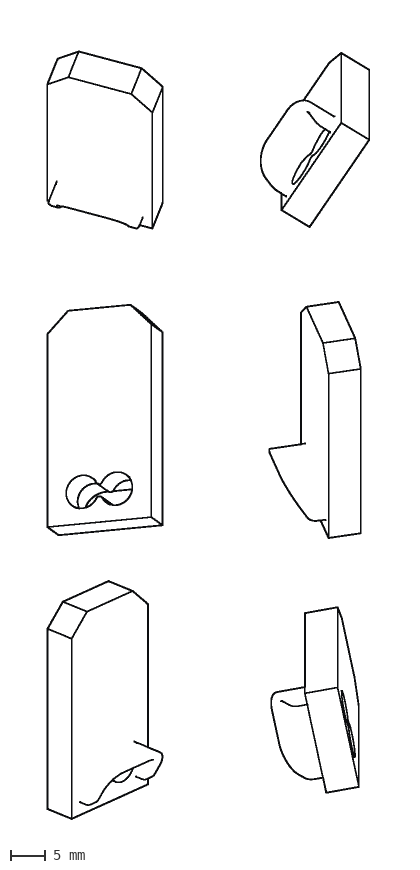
import cadquery as cq
import math

plate_width = 15.9
plate_height = 31.9
plate_thickness = 4.8
plate_corner_chamfer = 3.2

opening_height = 4.75
opening_radius = 2.45
opening_offset = 2.6
neck_tip_radius = 0.5

hood_arc_offset = 2.65
hood_inner_radius = 2.5
hood_wall = 1.4
hood_leg_bottom = 2.2
hood_depth = 6.01
hood_slope_angle = 30.0
hood_heel_radius = 1.7
hood_edge_radius = 0.2
hood_root_radius = 0.2
root_selection_margin = 0.05

hood_outer_radius = hood_inner_radius + hood_wall
hood_top = opening_height + hood_outer_radius
hood_half_width = hood_arc_offset + hood_outer_radius
hood_bottom_depth = hood_depth - (hood_top - hood_leg_bottom) * math.tan(math.radians(hood_slope_angle))


def make_plate():
    """Upright slab with its two top corners cut off."""
    slab = cq.Workplane("XY").box(plate_width, plate_thickness, plate_height, centered=(True, False, False))
    return slab.edges("|Y and >Z").chamfer(plate_corner_chamfer)


def arch(radius, depth):
    """Solid arch from the leg bottoms up, reaching from Y = 0 to Y = -depth."""
    half_width = hood_arc_offset + radius
    top = opening_height + radius
    diagonal = radius * math.sqrt(0.5)
    return (
        cq.Workplane("XZ")
        .moveTo(-half_width, hood_leg_bottom)
        .lineTo(-half_width, opening_height)
        .threePointArc(
            (-hood_arc_offset - diagonal, opening_height + diagonal),
            (-hood_arc_offset, top),
        )
        .lineTo(hood_arc_offset, top)
        .threePointArc(
            (hood_arc_offset + diagonal, opening_height + diagonal),
            (half_width, opening_height),
        )
        .lineTo(half_width, hood_leg_bottom)
        .close()
        .extrude(depth)
    )


def make_hood():
    """Arched wall whose front slopes back towards the leg bottoms, with rounded front edges."""
    wall = arch(hood_outer_radius, hood_depth).cut(arch(hood_inner_radius, hood_depth))
    side_profile = (
        cq.Workplane("YZ", origin=(-hood_half_width, 0, 0))
        .moveTo(0, hood_leg_bottom)
        .lineTo(0, hood_top)
        .lineTo(-hood_depth, hood_top)
        .lineTo(-hood_bottom_depth, hood_leg_bottom)
        .close()
        .extrude(2 * hood_half_width)
        .edges(cq.selectors.NearestToPointSelector((0, -hood_bottom_depth, hood_leg_bottom)))
        .fillet(hood_heel_radius)
    )
    hood = wall.intersect(side_profile)
    slope = math.radians(hood_slope_angle)
    slope_normal = cq.Vector(0, -math.cos(slope), -math.sin(slope))
    slope_face = hood.faces(cq.selectors.DirectionMinMaxSelector(slope_normal))
    return slope_face.edges("not |X").fillet(hood_edge_radius)


def make_opening_cutter():
    """Two round bars joined by a neck with rounded tips above and below."""
    reach = opening_radius + neck_tip_radius
    tip_center = math.sqrt(reach**2 - opening_offset**2)
    tangent_x = opening_offset * neck_tip_radius / reach
    tangent_z = tip_center * opening_radius / reach
    tip_z = tip_center - neck_tip_radius
    far_x = opening_offset + opening_radius
    return (
        cq.Workplane("XZ", origin=(0, plate_thickness, opening_height))
        .moveTo(-tangent_x, tangent_z)
        .threePointArc((0, tip_z), (tangent_x, tangent_z))
        .threePointArc((far_x, 0), (tangent_x, -tangent_z))
        .threePointArc((0, -tip_z), (-tangent_x, -tangent_z))
        .threePointArc((-far_x, 0), (-tangent_x, tangent_z))
        .close()
        .extrude(plate_thickness + hood_depth)
    )


def round_hood_root(body):
    """Blend the hood into the front face of the plate."""
    margin = root_selection_margin
    root_zone = cq.selectors.BoxSelector(
        (-hood_half_width - margin, -margin, hood_leg_bottom - margin),
        (hood_half_width + margin, margin, hood_top + margin),
        boundingbox=True,
    )
    return body.edges(root_zone).fillet(hood_root_radius)


body = round_hood_root(make_plate().union(make_hood()))
result = body.cut(make_opening_cutter())